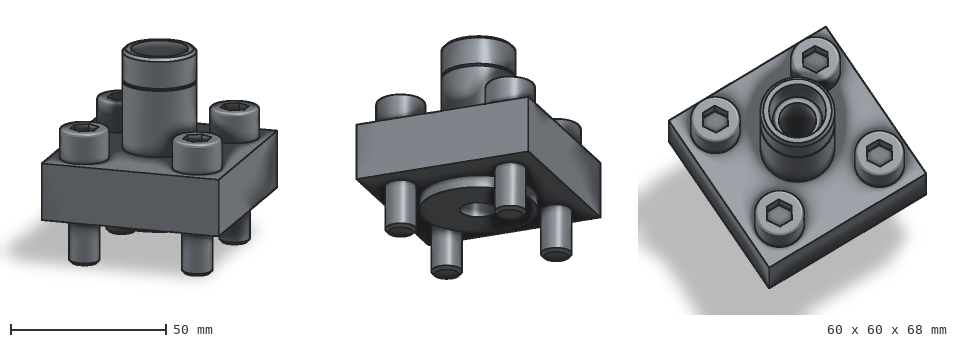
import cadquery as cq
import math

plate_side = 60.0
plate_thickness = 19.0

tube_diameter = 24.0
tube_height = 33.0
spigot_diameter = 38.0
spigot_height = 4.0
tube_edge_chamfer = 1.0
groove_top_depth = 10.0
groove_width = 0.8

bore_diameter = 12.0
socket_diameter = 16.0
socket_depth = 8.5
mouth_diameter = 18.35
cone_half_angle = 12

screw_spacing = 38.2
head_diameter = 16.0
head_height = 10.0
head_fillet = 1.0
shank_diameter = 10.0
shank_projection = 16.05
shank_chamfer = 1.0
hex_across_flats = 8.0
hex_depth = 5.0


def revolve_profile(points):
    """Revolve a closed (radius, height) outline about the Z axis."""
    return cq.Workplane("XZ").polyline(points).close().revolve(360, (0, 0), (0, 1))


def make_plate():
    plate = cq.Workplane("XY").rect(plate_side, plate_side).extrude(-plate_thickness)
    spigot = (
        cq.Workplane("XY")
        .workplane(offset=-plate_thickness)
        .circle(spigot_diameter / 2)
        .extrude(-spigot_height)
    )
    return plate.union(spigot)


def make_tube():
    radius = tube_diameter / 2
    groove_top = tube_height - groove_top_depth
    groove_bottom = groove_top - groove_width
    return revolve_profile([
        (0, 0),
        (radius, 0),
        (radius, groove_bottom),
        (radius - groove_width, groove_bottom),
        (radius, groove_top),
        (radius, tube_height - tube_edge_chamfer),
        (radius - tube_edge_chamfer, tube_height),
        (0, tube_height),
    ])


def make_bore():
    bore_bottom = -plate_thickness - spigot_height
    mouth_radius = mouth_diameter / 2
    socket_radius = socket_diameter / 2
    cone_depth = (mouth_radius - socket_radius) / math.tan(math.radians(cone_half_angle))
    return revolve_profile([
        (0, bore_bottom),
        (bore_diameter / 2, bore_bottom),
        (bore_diameter / 2, tube_height - socket_depth),
        (socket_radius, tube_height - socket_depth),
        (socket_radius, tube_height - cone_depth),
        (mouth_radius, tube_height),
        (0, tube_height),
    ])


def make_screw():
    head = (
        cq.Workplane("XY")
        .circle(head_diameter / 2)
        .extrude(head_height)
        .faces(">Z")
        .edges()
        .fillet(head_fillet)
    )
    shank = (
        cq.Workplane("XY")
        .circle(shank_diameter / 2)
        .extrude(-plate_thickness - shank_projection)
        .faces("<Z")
        .edges()
        .chamfer(shank_chamfer)
    )
    hex_across_corners = hex_across_flats / math.cos(math.radians(30))
    hex_socket = (
        cq.Workplane("XY")
        .workplane(offset=head_height)
        .transformed(rotate=(0, 0, 90))
        .polygon(6, hex_across_corners)
        .extrude(-hex_depth)
    )
    return head.union(shank).cut(hex_socket)


result = make_plate().union(make_tube()).cut(make_bore())

screw = make_screw()
for side_x in (-1, 1):
    for side_y in (-1, 1):
        position = (side_x * screw_spacing / 2, side_y * screw_spacing / 2, 0)
        result = result.union(screw.translate(position))